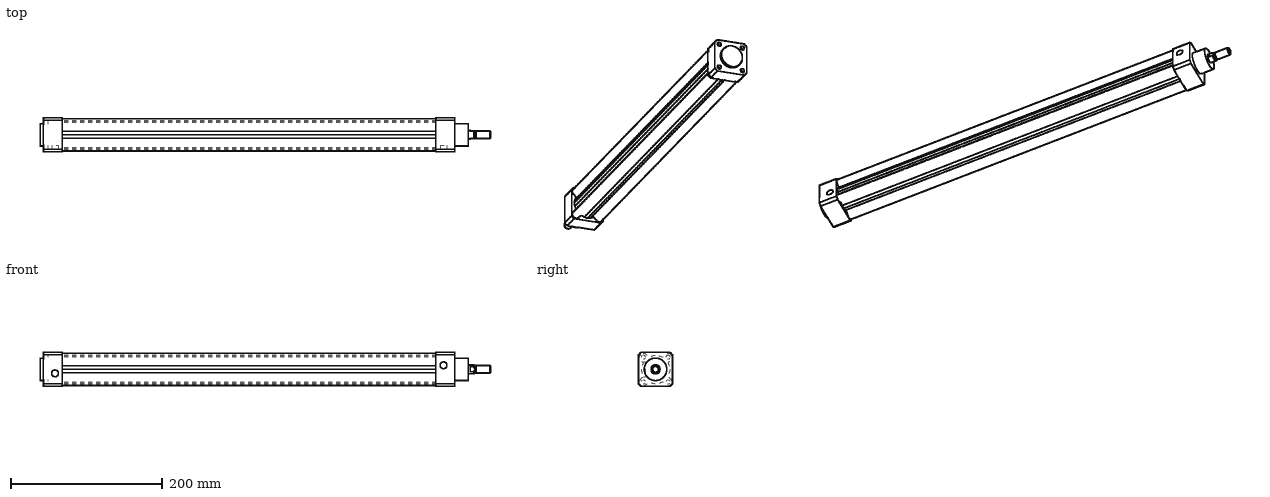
import cadquery as cq
import math


total_length = 596.0
rear_boss_length = 4.0
front_boss_length = 18.0
front_boss_end = 566.0
cap_length = 25.0
rear_cap_start = rear_boss_length
barrel_start = rear_cap_start + cap_length
front_cap_end = front_boss_end - front_boss_length
front_cap_start = front_cap_end - cap_length
barrel_length = front_cap_start - barrel_start

cap_width = 45.0
cap_corner_chamfer = 3.5
boss_diameter = 30.0
tie_rod_pitch = 33.0
screw_hole_diameter = 5.5
screw_hole_depth = 6.0
port_diameter = 9.0
port_depth = 9.0
port_height_offset = 5.5
rear_port_setback = 9.5
front_port_setback = 10.0

side_count = 4
side_angle = 360 / side_count
tube_diameter = 37.0
web_radius = 5.1
web_root_fillet = 1.5
ridge_half_width = 4.45
ridge_peak = 19.0
ridge_rise = 0.95
root_search_margin = 0.05

rod_diameter = 12.0
flats_width = 10.0
flats_start = 568.5
shoulder_end = 573.5
taper_end = 575.0
thread_start = 577.0
neck_diameter = 9.5
thread_diameter = 10.0
tip_chamfer = 1.0


def section_plane(x):
    """Cross-section plane at x, its local axes along Y and Z."""
    return cq.Workplane("YZ", origin=(x, 0, 0))


def disc(start, length, diameter):
    return section_plane(start).circle(diameter / 2).extrude(length)


def turned(body, angle):
    return body.rotate((0, 0, 0), (1, 0, 0), angle)



def cap_block(start):
    block = section_plane(start).rect(cap_width, cap_width).extrude(cap_length)
    return block.edges("|X").chamfer(cap_corner_chamfer)


def air_port(x, z):
    """Blind round hole going in from the -Y side."""
    mouth = cq.Workplane("XZ", origin=(x, -cap_width / 2, z))
    return mouth.circle(port_diameter / 2).extrude(-port_depth)


def tie_rod_screw_holes():
    return (
        section_plane(rear_cap_start)
        .rect(tie_rod_pitch, tie_rod_pitch, forConstruction=True)
        .vertices()
        .circle(screw_hole_diameter / 2)
        .extrude(screw_hole_depth)
    )


def make_rear_cap():
    cap = cap_block(rear_cap_start)
    cap = cap.union(disc(0, rear_boss_length, boss_diameter))
    cap = cap.cut(tie_rod_screw_holes())
    return cap.cut(air_port(barrel_start - rear_port_setback, -port_height_offset))


def make_front_cap():
    cap = cap_block(front_cap_start)
    cap = cap.union(disc(front_cap_end, front_boss_length, boss_diameter))
    return cap.cut(air_port(front_cap_start + front_port_setback, port_height_offset))



def corner_web(angle):
    """Web from the barrel axis out to a tie-rod line, its outer end rounded about that line."""
    reach = tie_rod_pitch / math.sqrt(2)
    web = (
        section_plane(barrel_start)
        .moveTo(0, -web_radius)
        .lineTo(reach, -web_radius)
        .threePointArc((reach + web_radius, 0), (reach, web_radius))
        .lineTo(0, web_radius)
        .close()
        .extrude(barrel_length)
    )
    return turned(web, angle)


def side_ridge(angle):
    """Low ridge along the middle of one side, with two flat flanks that meet at its peak."""
    flank_foot = ridge_peak - ridge_rise
    outline = [
        (-ridge_half_width, 0),
        (ridge_half_width, 0),
        (ridge_half_width, flank_foot),
        (0, ridge_peak),
        (-ridge_half_width, flank_foot),
    ]
    ridge = section_plane(barrel_start).polyline(outline).close().extrude(barrel_length)
    return turned(ridge, angle)


def is_web_root(edge):
    """True for an edge on the tube surface, where a web leaves the tube."""
    centre = edge.Center()
    return math.hypot(centre.y, centre.z) < tube_diameter / 2 + root_search_margin


def make_barrel():
    barrel = disc(barrel_start, barrel_length, tube_diameter)
    for side in range(side_count):
        barrel = barrel.union(corner_web((side + 0.5) * side_angle))
    barrel = barrel.edges("|X").filter(is_web_root).fillet(web_root_fillet)
    for side in range(side_count):
        barrel = barrel.union(side_ridge(side * side_angle))
    return barrel



def rod_blank():
    half_profile = [
        (front_boss_end, 0),
        (front_boss_end, rod_diameter / 2),
        (shoulder_end, rod_diameter / 2),
        (taper_end, neck_diameter / 2),
        (thread_start, neck_diameter / 2),
        (thread_start, thread_diameter / 2),
        (total_length - tip_chamfer, thread_diameter / 2),
        (total_length, thread_diameter / 2 - tip_chamfer),
        (total_length, 0),
    ]
    return cq.Workplane("XY").polyline(half_profile).close().revolve(360, (0, 0, 0), (1, 0, 0))


def wrench_flat(side):
    """Material to remove beyond one flat, on the +Y (side = 1) or -Y (side = -1) face."""
    middle = side * (flats_width + rod_diameter) / 2
    return section_plane(flats_start).center(middle, 0).rect(rod_diameter, rod_diameter).extrude(
        taper_end - flats_start
    )


def make_piston_rod():
    rod = rod_blank()
    for side in (1, -1):
        rod = rod.cut(wrench_flat(side))
    return rod


rear_cap = make_rear_cap()
barrel = make_barrel()
front_cap = make_front_cap()
piston_rod = make_piston_rod()

result = cq.Compound.makeCompound([rear_cap.val(), barrel.val(), front_cap.val(), piston_rod.val()])